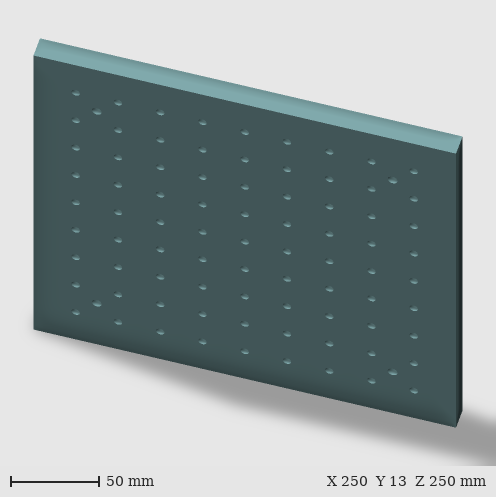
import cadquery as cq

plate_side = 250.0
plate_thickness = 13.0

grid_pitch = 25.0
grid_count = 9
grid_hole_diameter = 5.0

mount_count = 2
mount_hole_diameter = 5.8
grid_span = (grid_count - 1) * grid_pitch
mount_spacing = grid_span - grid_pitch


def make_plate():
    """Plain plate centred on the origin, with its thickness along Y."""
    return cq.Workplane("XY").box(plate_side, plate_thickness, plate_side)


def drill_square_array(body, spacing, count, diameter):
    """Drill a centred count x count array of holes through the thickness."""
    return (
        body.faces("<Y")
        .workplane(centerOption="CenterOfBoundBox")
        .rarray(spacing, spacing, count, count)
        .hole(diameter)
    )


plate = make_plate()
plate = drill_square_array(plate, grid_pitch, grid_count, grid_hole_diameter)
result = drill_square_array(plate, mount_spacing, mount_count, mount_hole_diameter)